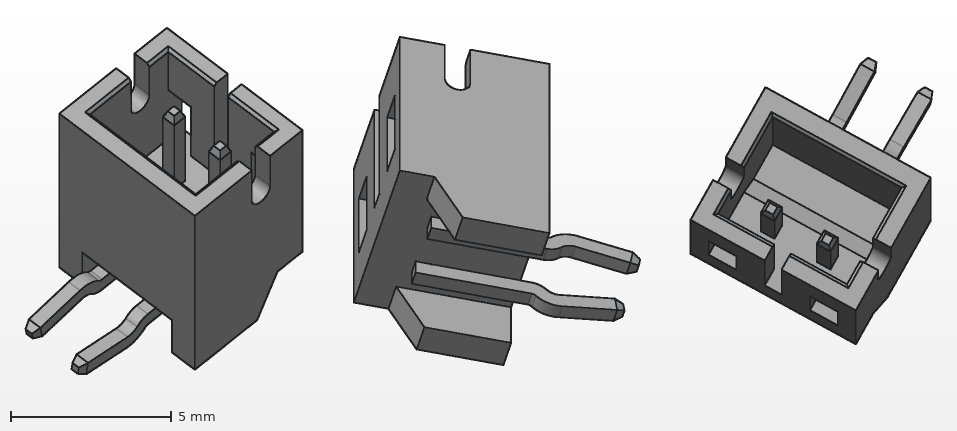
import cadquery as cq
import math

HOUSING_WIDTH = 5.9
HOUSING_DEPTH = 4.81
HOUSING_HEIGHT = 7.6

UNDERSIDE_Z = 1.595
FOOT_WIDTH = 1.0
FOOT_HEEL_DEPTH = 2.79
FOOT_TOP_DEPTH = 3.7

CAVITY_WIDTH = 4.6
CAVITY_FRONT_Y = 0.7
CAVITY_BACK_Y = 4.205
HIGH_FLOOR_Z = 3.2
STEP_BACK_Y = 2.54
STEP_FRONT_Y = 1.94
RIM_CHAMFER = 0.11

KEY_SLOT_WIDTH = 0.6
SIDE_SLOT_WIDTH = 0.82
SIDE_SLOT_DEPTH = 1.9
WINDOW_INNER_X = 1.32
WINDOW_TOP_Z = 5.61

PIN_SIZE = 0.5
PIN_PITCH = 2.0
PIN_Y = 3.125
PIN_TOP_Z = 6.64
PIN_FRONT_Y = -3.37
KINK_START_Y = -0.34
KINK_ANGLE = 44
RETURN_ANGLE = 9
FIRST_BEND_RADIUS = 0.2
SECOND_BEND_RADIUS = 0.5
TIP_LENGTH = 0.29
TIP_SIZE = 0.28

LOW_FLOOR_Z = HIGH_FLOOR_Z - (STEP_BACK_Y - STEP_FRONT_Y)


def box_between(x_range, y_range, z_range):
    """Box spanning the given (low, high) ranges."""
    size = [high - low for low, high in (x_range, y_range, z_range)]
    low_corner = (x_range[0], y_range[0], z_range[0])
    return cq.Workplane("XY").box(*size, centered=False).translate(low_corner)


def extrude_profile(points, width):
    """Prism of a (Y, Z) outline, centred on X = 0."""
    return cq.Workplane("YZ").polyline(points).close().extrude(width / 2, both=True)


def make_shell():
    """Outer block with its sloping heel, cut away between the two feet."""
    profile = [
        (0, 0),
        (FOOT_HEEL_DEPTH, 0),
        (FOOT_TOP_DEPTH, UNDERSIDE_Z),
        (HOUSING_DEPTH, UNDERSIDE_Z),
        (HOUSING_DEPTH, HOUSING_HEIGHT),
        (0, HOUSING_HEIGHT),
    ]
    half_gap = HOUSING_WIDTH / 2 - FOOT_WIDTH
    gap = box_between((-half_gap, half_gap), (0, HOUSING_DEPTH), (0, UNDERSIDE_Z))
    return extrude_profile(profile, HOUSING_WIDTH).cut(gap)


def make_cavity():
    """Open-topped cavity with a stepped floor and a flared rim."""
    profile = [
        (CAVITY_FRONT_Y, LOW_FLOOR_Z),
        (STEP_FRONT_Y, LOW_FLOOR_Z),
        (STEP_BACK_Y, HIGH_FLOOR_Z),
        (CAVITY_BACK_Y, HIGH_FLOOR_Z),
        (CAVITY_BACK_Y, HOUSING_HEIGHT),
        (CAVITY_FRONT_Y, HOUSING_HEIGHT),
    ]
    rim_flare = (
        cq.Workplane("XY", origin=(0, (CAVITY_FRONT_Y + CAVITY_BACK_Y) / 2, HOUSING_HEIGHT))
        .rect(CAVITY_WIDTH + 2 * RIM_CHAMFER, CAVITY_BACK_Y - CAVITY_FRONT_Y + 2 * RIM_CHAMFER)
        .extrude(-RIM_CHAMFER, taper=45)
    )
    return extrude_profile(profile, CAVITY_WIDTH).union(rim_flare)


def make_side_slots():
    """Round-ended slot through both side walls, open at the top."""
    radius = SIDE_SLOT_WIDTH / 2
    front_y = STEP_BACK_Y
    back_y = front_y + SIDE_SLOT_WIDTH
    bottom_z = HOUSING_HEIGHT - SIDE_SLOT_DEPTH
    return (
        cq.Workplane("YZ")
        .moveTo(front_y, HOUSING_HEIGHT)
        .lineTo(front_y, bottom_z + radius)
        .threePointArc((front_y + radius, bottom_z), (back_y, bottom_z + radius))
        .lineTo(back_y, HOUSING_HEIGHT)
        .close()
        .extrude(HOUSING_WIDTH / 2, both=True)
    )


def make_back_openings():
    """Key slot and two windows through the back wall, all down to the high floor."""
    wall = (CAVITY_BACK_Y, HOUSING_DEPTH)
    half_slot = KEY_SLOT_WIDTH / 2
    openings = box_between((-half_slot, half_slot), wall, (HIGH_FLOOR_Z, HOUSING_HEIGHT))
    window = box_between((WINDOW_INNER_X, CAVITY_WIDTH / 2), wall, (HIGH_FLOOR_Z, WINDOW_TOP_Z))
    return openings.union(window).union(window.mirror("YZ"))


def make_pin_hole(x):
    """Square hole through the high floor for one pin."""
    half = PIN_SIZE / 2
    return box_between((x - half, x + half), (PIN_Y - half, PIN_Y + half), (UNDERSIDE_Z, HIGH_FLOOR_Z))


def make_housing(pin_places):
    """Shell with its cavity, wall openings and one hole for each pin."""
    housing = make_shell().cut(make_cavity()).cut(make_side_slots()).cut(make_back_openings())
    for x in pin_places:
        housing = housing.cut(make_pin_hole(x))
    return housing


def point_on_arc(center, radius, degrees):
    """Point on a circle in the YZ plane, the angle measured from +Z towards -Y."""
    angle = math.radians(degrees)
    return (center[0] - radius * math.sin(angle), center[1] + radius * math.cos(angle))


def make_tip(base_center, direction):
    """Tapered square point on the end of the wire."""
    base = cq.Plane(origin=base_center, xDir=(1, 0, 0), normal=direction)
    return (
        cq.Workplane(base)
        .rect(PIN_SIZE, PIN_SIZE)
        .workplane(offset=TIP_LENGTH)
        .rect(TIP_SIZE, TIP_SIZE)
        .loft()
    )


def make_upright():
    """Upright leg from the bottom of the bend to its pointed top."""
    half = PIN_SIZE / 2
    shoulder_z = PIN_TOP_Z - TIP_LENGTH
    leg = box_between((-half, half), (PIN_Y - half, PIN_Y + half), (UNDERSIDE_Z - PIN_SIZE, shoulder_z))
    return leg.union(make_tip((0, PIN_Y, shoulder_z), (0, 0, 1)))


def make_kinked_leg():
    """Leg running to -Y with its axis at Z = 0, kinked upwards and sloping back to a point."""
    half = PIN_SIZE / 2

    first_center = (KINK_START_Y, half + FIRST_BEND_RADIUS)
    second_outside = SECOND_BEND_RADIUS + PIN_SIZE
    second_center = point_on_arc(first_center, FIRST_BEND_RADIUS + second_outside, 180 - KINK_ANGLE)

    def first_bend(radius, degrees):
        return point_on_arc(first_center, radius, 180 - degrees)

    def second_bend(radius, degrees):
        return point_on_arc(second_center, radius, degrees)

    slope = math.radians(RETURN_ANGLE)
    bend_end = second_bend(SECOND_BEND_RADIUS + half, RETURN_ANGLE)
    reach = bend_end[0] - PIN_FRONT_Y - TIP_SIZE / 2 * math.sin(slope)
    straight = reach / math.cos(slope) - TIP_LENGTH
    direction = (-math.cos(slope), -math.sin(slope))

    def after_straight(point):
        return (point[0] + straight * direction[0], point[1] + straight * direction[1])

    top_turn = first_bend(FIRST_BEND_RADIUS, KINK_ANGLE)
    bottom_turn = second_bend(SECOND_BEND_RADIUS, -KINK_ANGLE)
    top_end = second_bend(second_outside, RETURN_ANGLE)
    bottom_end = second_bend(SECOND_BEND_RADIUS, RETURN_ANGLE)
    first_outside = FIRST_BEND_RADIUS + PIN_SIZE
    leg = (
        cq.Workplane("YZ")
        .moveTo(PIN_Y, half)
        .lineTo(KINK_START_Y, half)
        .threePointArc(first_bend(FIRST_BEND_RADIUS, KINK_ANGLE / 2), top_turn)
        .threePointArc(second_bend(second_outside, 0), top_end)
        .lineTo(*after_straight(top_end))
        .lineTo(*after_straight(bottom_end))
        .lineTo(*bottom_end)
        .threePointArc(second_bend(SECOND_BEND_RADIUS, 0), bottom_turn)
        .threePointArc(first_bend(first_outside, KINK_ANGLE / 2), (KINK_START_Y, -half))
        .lineTo(PIN_Y, -half)
        .close()
        .extrude(half, both=True)
    )
    return leg.union(make_tip((0, *after_straight(bend_end)), (0, *direction)))


def make_pin(x, kinked_up):
    """Complete pin at the given X, its horizontal leg lying against the underside of the shell."""
    kinked_leg = make_kinked_leg()
    if not kinked_up:
        kinked_leg = kinked_leg.mirror("XY")
    kinked_leg = kinked_leg.translate((0, 0, UNDERSIDE_Z - PIN_SIZE / 2))
    return make_upright().union(kinked_leg).translate((x, 0, 0))


pin_places = [-PIN_PITCH / 2, PIN_PITCH / 2]
housing = make_housing(pin_places)
pins = [make_pin(x, kinked_up=index % 2 == 0) for index, x in enumerate(pin_places)]

result = cq.Compound.makeCompound([housing.val(), *(pin.val() for pin in pins)])